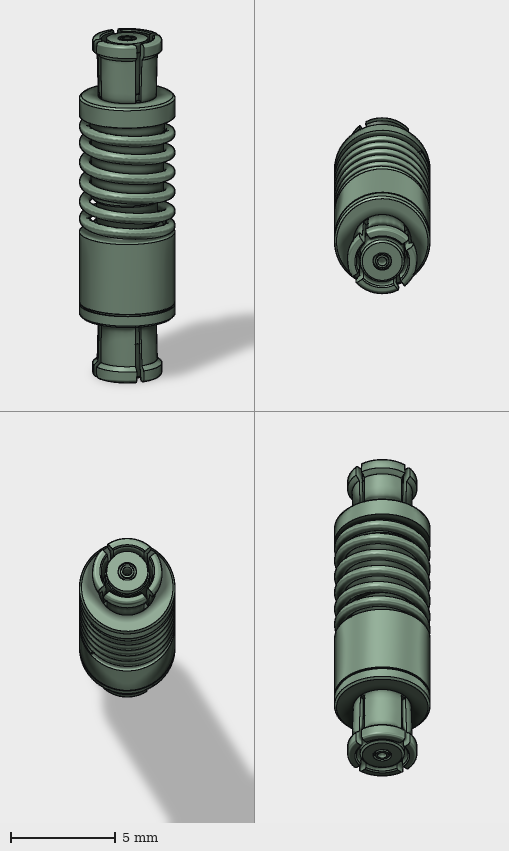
import cadquery as cq
import math

LENGTH = 16.82
LOWER_SHOULDER_Z = 2.96
GROOVE_BOTTOM_Z = 3.53
GROOVE_TOP_Z = 3.63
HOUSING_TOP_Z = 7.13
FLANGE_BOTTOM_Z = 12.93
FLANGE_TOP_Z = 13.91

HOUSING_DIAMETER = 4.6
HOUSING_RADIUS = HOUSING_DIAMETER / 2
HOUSING_CHAMFER = 0.1
GROOVE_DEPTH = 0.08
GROOVE_RADIUS = HOUSING_RADIUS - GROOVE_DEPTH

SEAT_RADIUS = 1.88
SEAT_CONE_HEIGHT = 0.13
COLLAR_RADIUS = 1.78
COLLAR_BOTTOM_Z = 12.16
SLEEVE_RADIUS = 1.73
SLEEVE_BOTTOM_Z = 8.8
SLEEVE_CHAMFER = 0.1
COLLAR_CHAMFER = COLLAR_RADIUS - SLEEVE_RADIUS
ROD_RADIUS = 1.46
LIP_RADIUS = 1.73
LIP_COVE_RADIUS = 0.25
LIP_EDGE_Z = 7.47
LIP_CHAMFER = 0.17

NECK_DEPTH = 2.86
NECK_ROOT_RADIUS = 1.4
NECK_TIP_RADIUS = 1.45
HEAD_RADIUS = 1.67
HEAD_FILLET = 0.17
HEAD_HEIGHT = 0.59
HEAD_CONE_HEIGHT = 0.2
BORE_ROOT_RADIUS = 1.18
BORE_TIP_RADIUS = 1.25
BORE_CHAMFER = 0.07
SLOT_COUNT = 4
SLOT_TIP_WIDTH = 0.37
SLOT_ROOT_WIDTH = 0.27

INSULATOR_RADIUS = 1.06
INSULATOR_SETBACK = 0.05
UPPER_GAP_DEPTH = 2.55
UPPER_STEP_RADIUS = 1.0
UPPER_STEP_DEPTH = 0.52
LOWER_GAP_DEPTH = 1.82
LOWER_TIP_CHAMFER = 0.1

SOCKET_RADIUS = 0.44
SOCKET_DEPTH = 0.17
CONTACT_RADIUS = 0.32
CONTACT_HOLE_RADIUS = 0.22
CONTACT_HOLE_DEPTH = 1.35
DRILL_POINT_HEIGHT = 0.13

WIRE_RADIUS = 0.25
COIL_RADIUS = HOUSING_RADIUS - WIRE_RADIUS
END_PITCH = 0.69
END_TURNS = 1
MIDDLE_TURNS = 4


def turn(outline):
    """Close a (radius, z) outline and turn it about the Z axis."""
    return outline.close().revolve(360, (0, 0), (0, 1))


def make_barrel():
    """Everything between the two necks: end ring, housing, rod, sleeve and flange."""
    inner_housing = HOUSING_RADIUS - HOUSING_CHAMFER
    cove_outer = LIP_RADIUS + LIP_COVE_RADIUS
    cove_top = HOUSING_TOP_Z + LIP_COVE_RADIUS
    cove_diagonal = LIP_COVE_RADIUS * math.sqrt(0.5)
    outline = (
        cq.Workplane("XZ")
        .moveTo(0, LOWER_SHOULDER_Z)
        .lineTo(inner_housing, LOWER_SHOULDER_Z)
        .lineTo(HOUSING_RADIUS, LOWER_SHOULDER_Z + HOUSING_CHAMFER)
        .lineTo(HOUSING_RADIUS, GROOVE_BOTTOM_Z)
        .lineTo(GROOVE_RADIUS, GROOVE_BOTTOM_Z)
        .lineTo(GROOVE_RADIUS, GROOVE_TOP_Z)
        .lineTo(HOUSING_RADIUS, GROOVE_TOP_Z)
        .lineTo(HOUSING_RADIUS, HOUSING_TOP_Z)
        .lineTo(cove_outer, HOUSING_TOP_Z)
        .threePointArc((cove_outer - cove_diagonal, cove_top - cove_diagonal), (LIP_RADIUS, cove_top))
        .lineTo(LIP_RADIUS, LIP_EDGE_Z)
        .lineTo(LIP_RADIUS - LIP_CHAMFER, LIP_EDGE_Z + LIP_CHAMFER)
        .lineTo(ROD_RADIUS, LIP_EDGE_Z + LIP_CHAMFER)
        .lineTo(ROD_RADIUS, SLEEVE_BOTTOM_Z)
        .lineTo(SLEEVE_RADIUS - SLEEVE_CHAMFER, SLEEVE_BOTTOM_Z)
        .lineTo(SLEEVE_RADIUS, SLEEVE_BOTTOM_Z + SLEEVE_CHAMFER)
        .lineTo(SLEEVE_RADIUS, COLLAR_BOTTOM_Z)
        .lineTo(COLLAR_RADIUS, COLLAR_BOTTOM_Z + COLLAR_CHAMFER)
        .lineTo(COLLAR_RADIUS, FLANGE_BOTTOM_Z - SEAT_CONE_HEIGHT)
        .lineTo(SEAT_RADIUS, FLANGE_BOTTOM_Z)
        .lineTo(HOUSING_RADIUS, FLANGE_BOTTOM_Z)
        .lineTo(HOUSING_RADIUS, FLANGE_TOP_Z - HOUSING_CHAMFER)
        .lineTo(inner_housing, FLANGE_TOP_Z)
        .lineTo(0, FLANGE_TOP_Z)
    )
    return turn(outline)


def make_snap_blank(shoulder_z):
    """Solid neck and head at the upper tip, rising from the shoulder."""
    head_bottom = LENGTH - HEAD_HEIGHT
    fillet_inset = HEAD_FILLET * (1 - math.sqrt(0.5))
    fillet_middle = (HEAD_RADIUS - fillet_inset, LENGTH - fillet_inset)
    outline = (
        cq.Workplane("XZ")
        .moveTo(0, shoulder_z)
        .lineTo(NECK_ROOT_RADIUS, shoulder_z)
        .lineTo(NECK_ROOT_RADIUS, LENGTH - NECK_DEPTH)
        .lineTo(NECK_TIP_RADIUS, head_bottom - HEAD_CONE_HEIGHT)
        .lineTo(HEAD_RADIUS, head_bottom)
        .lineTo(HEAD_RADIUS, LENGTH - HEAD_FILLET)
        .threePointArc(fillet_middle, (HEAD_RADIUS - HEAD_FILLET, LENGTH))
        .lineTo(0, LENGTH)
    )
    return turn(outline)


def make_bore(depth):
    """Space inside the fingers, down to the given depth from the tip."""
    outline = (
        cq.Workplane("XZ")
        .moveTo(0, LENGTH - depth)
        .lineTo(BORE_ROOT_RADIUS, LENGTH - depth)
        .lineTo(BORE_TIP_RADIUS, LENGTH - BORE_CHAMFER)
        .lineTo(BORE_TIP_RADIUS + BORE_CHAMFER, LENGTH)
        .lineTo(0, LENGTH)
    )
    return turn(outline)


def make_insulator_stem(radius, depth):
    """Cylinder from the bore floor at the given depth to the insulator's end face."""
    stem_base = cq.Workplane("XY", origin=(0, 0, LENGTH - depth))
    return stem_base.circle(radius).extrude(depth - INSULATOR_SETBACK)


def make_upper_insulator():
    stem = make_insulator_stem(UPPER_STEP_RADIUS, UPPER_GAP_DEPTH)
    shoulder = (
        cq.Workplane("XY", origin=(0, 0, LENGTH - UPPER_GAP_DEPTH))
        .circle(INSULATOR_RADIUS)
        .extrude(UPPER_GAP_DEPTH - UPPER_STEP_DEPTH)
    )
    return stem.union(shoulder)


def make_lower_insulator():
    """Lower insulator, built at the upper tip like the rest of the snap end."""
    return make_insulator_stem(INSULATOR_RADIUS, LOWER_GAP_DEPTH).faces(">Z").chamfer(LOWER_TIP_CHAMFER)


def make_slots():
    """Tapered slots that split the neck and head into fingers."""
    slot_floor = LENGTH - NECK_DEPTH
    root_half = SLOT_ROOT_WIDTH / 2
    tip_half = SLOT_TIP_WIDTH / 2
    slot = (
        cq.Workplane("XZ")
        .moveTo(-root_half, slot_floor)
        .lineTo(root_half, slot_floor)
        .lineTo(tip_half, LENGTH)
        .lineTo(-tip_half, LENGTH)
        .close()
        .extrude(HEAD_RADIUS)
    )
    slots = cq.Workplane("XY")
    for i in range(SLOT_COUNT):
        slots = slots.union(slot.rotate((0, 0, 0), (0, 0, 1), i * 360 / SLOT_COUNT))
    core = cq.Workplane("XY").circle(BORE_ROOT_RADIUS).extrude(LENGTH)
    return slots.cut(core)


def make_socket():
    """Ring-shaped recess round the tubular contact, and the contact's drilled hole."""
    face_z = LENGTH - INSULATOR_SETBACK
    hole_floor = LENGTH - CONTACT_HOLE_DEPTH
    ring = (
        cq.Workplane("XY", origin=(0, 0, face_z))
        .circle(SOCKET_RADIUS)
        .circle(CONTACT_RADIUS)
        .extrude(-SOCKET_DEPTH)
    )
    hole_outline = (
        cq.Workplane("XZ")
        .moveTo(0, hole_floor - DRILL_POINT_HEIGHT)
        .lineTo(CONTACT_HOLE_RADIUS, hole_floor)
        .lineTo(CONTACT_HOLE_RADIUS, face_z)
        .lineTo(0, face_z)
    )
    return ring.union(turn(hole_outline))


def make_snap_end(shoulder_z, gap_depth, insulator):
    """Complete snap end at the upper tip."""
    fingers = make_snap_blank(shoulder_z).cut(make_bore(gap_depth)).cut(make_slots())
    return fingers.union(insulator).cut(make_socket())


def make_body():
    upper_end = make_snap_end(FLANGE_TOP_Z, UPPER_GAP_DEPTH, make_upper_insulator())
    lower_end = make_snap_end(LENGTH - LOWER_SHOULDER_Z, LOWER_GAP_DEPTH, make_lower_insulator())
    lower_end = lower_end.mirror("XY", (0, 0, LENGTH / 2))
    return make_barrel().union(upper_end).union(lower_end)


def make_coil(start_z, pitch, turns):
    """Left-hand run of wire that starts and ends on the +Y side."""
    path = cq.Wire.makeHelix(pitch, pitch * turns, COIL_RADIUS, lefthand=True)
    coil = (
        cq.Workplane("XZ", origin=(COIL_RADIUS, 0, 0))
        .circle(WIRE_RADIUS)
        .sweep(cq.Workplane(path), isFrenet=True)
    )
    return coil.rotate((0, 0, 0), (0, 0, 1), 90).translate((0, 0, start_z))


def make_spring():
    bottom_z = HOUSING_TOP_Z + WIRE_RADIUS
    top_z = FLANGE_BOTTOM_Z - WIRE_RADIUS
    middle_start = bottom_z + END_PITCH * END_TURNS
    middle_end = top_z - END_PITCH * END_TURNS
    middle_pitch = (middle_end - middle_start) / MIDDLE_TURNS
    lower = make_coil(bottom_z, END_PITCH, END_TURNS)
    middle = make_coil(middle_start, middle_pitch, MIDDLE_TURNS)
    upper = make_coil(middle_end, END_PITCH, END_TURNS)
    return lower.union(middle).union(upper)


body = make_body()
spring = make_spring()
result = cq.Compound.makeCompound([*body.solids().vals(), *spring.solids().vals()])